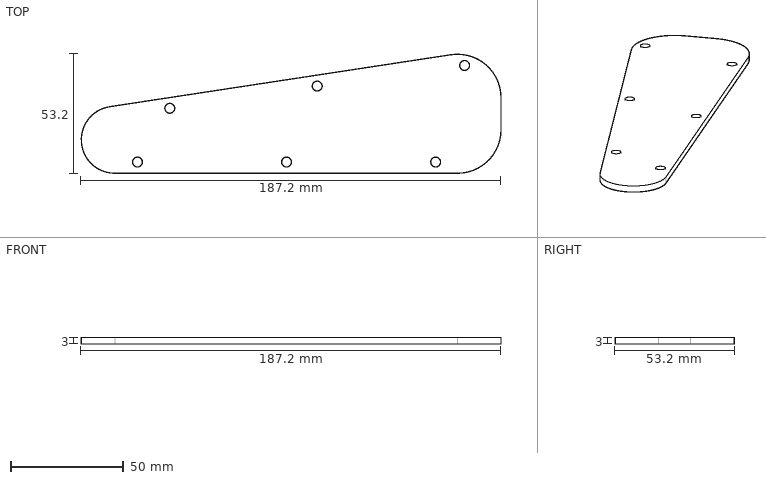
import cadquery as cq
import math

length = 187.2
width = 53.2
thickness = 3.0
small_radius = 15.0
large_radius = 19.5

hole_diameter = 4.3
edge_inset = 5.0
lower_hole_start = 25.0
lower_hole_pitch = 66.5
upper_holes = [(39.5, 29.0), (105.2, 39.0), (170.9, 48.1)]
lower_hole_count = 3

small_center = (small_radius, small_radius)
lower_center = (length - large_radius, large_radius)
upper_center = (length - large_radius, width - large_radius)

run = upper_center[0] - small_center[0]
rise = upper_center[1] - small_center[1]
center_angle = math.atan2(rise, run)
edge_angle = center_angle + math.asin((large_radius - small_radius) / math.hypot(run, rise))
normal_angle = edge_angle + math.pi / 2


def arc_point(center, radius, angle):
    return (center[0] + radius * math.cos(angle), center[1] + radius * math.sin(angle))


def make_plate():
    return (
        cq.Workplane("XY")
        .moveTo(small_radius, 0)
        .lineTo(length - large_radius, 0)
        .threePointArc(
            arc_point(lower_center, large_radius, -math.pi / 4),
            (length, large_radius),
        )
        .lineTo(length, width - large_radius)
        .threePointArc(
            arc_point(upper_center, large_radius, normal_angle / 2),
            arc_point(upper_center, large_radius, normal_angle),
        )
        .lineTo(*arc_point(small_center, small_radius, normal_angle))
        .threePointArc(
            arc_point(small_center, small_radius, (normal_angle + math.pi) / 2),
            (0, small_radius),
        )
        .threePointArc(
            arc_point(small_center, small_radius, -3 * math.pi / 4),
            (small_radius, 0),
        )
        .close()
        .extrude(thickness)
    )


lower_holes = [
    (lower_hole_start + lower_hole_pitch * i, edge_inset) for i in range(lower_hole_count)
]

result = make_plate().faces(">Z").workplane(origin=(0, 0, thickness))
result = result.pushPoints(lower_holes + upper_holes).hole(hole_diameter)